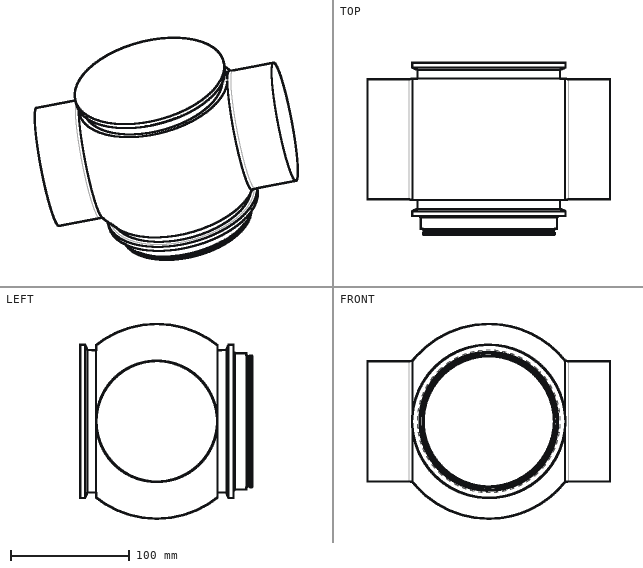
import cadquery as cq
import math

sphere_diameter = 165.0
sphere_radius = sphere_diameter / 2
port_face_x = 64.5
port_face_y = 51.4

overall_length = 205.5
pipe_radius = 51.0
collar_length = 2.9
collar_radius = math.sqrt(sphere_radius**2 - port_face_x**2)

neck_radius = 60.5
flange_radius = 65.0
flange_face = 65.0
rim_thickness = 4.1
bevel_length = 1.0
bevel_radius = 62.9
root_length = 1.0

cap_radius = 57.7
cap_root_radius = 58.8
cap_root_length = 1.0
cap_end = 75.8
groove_radius = 54.9
groove_floor_start = 77.0
groove_floor_end = 78.0
lip_start = 79.3
lip_radius = 55.9
lip_chamfer = 0.8
front_end = 81.0


def make_body():
    ball = cq.Workplane("XY").sphere(sphere_radius)
    limits = cq.Workplane("XY").box(2 * port_face_x, 2 * port_face_y, 2 * sphere_radius)
    return ball.intersect(limits)


def make_pipe(side):
    """Revolve a pipe stub about X; side is +1 or -1."""
    collar_end = port_face_x + collar_length
    profile = [
        (0, 0),
        (0, collar_radius),
        (side * port_face_x, collar_radius),
        (side * collar_end, pipe_radius),
        (side * overall_length / 2, pipe_radius),
        (side * overall_length / 2, 0),
    ]
    return cq.Workplane("XY").polyline(profile).close().revolve(360, (0, 0), (1, 0))


def make_flanged_neck(side):
    """Revolve a neck and its bevelled flange about Y; side is +1 or -1."""
    rim_start = flange_face - rim_thickness
    bevel_start = rim_start - bevel_length
    root_start = bevel_start - root_length
    profile = [
        (0, 0),
        (neck_radius, 0),
        (neck_radius, side * root_start),
        (bevel_radius, side * bevel_start),
        (flange_radius, side * rim_start),
        (flange_radius, side * flange_face),
        (0, side * flange_face),
    ]
    return cq.Workplane("XY").polyline(profile).close().revolve(360, (0, 0), (0, 1))


def make_front_cap():
    """Revolve the cap that projects from the front flange toward -Y."""
    profile = [
        (0, 0),
        (cap_root_radius, 0),
        (cap_root_radius, -flange_face),
        (cap_radius, -(flange_face + cap_root_length)),
        (cap_radius, -cap_end),
        (lip_radius, -cap_end),
        (groove_radius, -groove_floor_start),
        (groove_radius, -groove_floor_end),
        (lip_radius, -lip_start),
        (lip_radius, -(front_end - lip_chamfer)),
        (lip_radius - lip_chamfer, -front_end),
        (0, -front_end),
    ]
    return cq.Workplane("XY").polyline(profile).close().revolve(360, (0, 0), (0, 1))


result = make_body().union(make_front_cap())
for side in (-1, 1):
    result = result.union(make_pipe(side))
    result = result.union(make_flanged_neck(side))